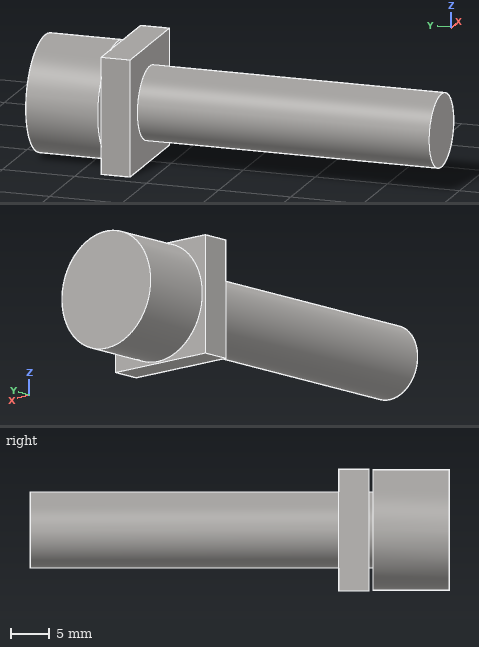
import cadquery as cq

total_length = 55.0
shank_diameter = 10.0
head_diameter = 15.85
head_length = 10.0
plate_side = 16.0
plate_thickness = 4.0
neck_gap = 0.5

head_start = total_length - head_length
plate_start = head_start - neck_gap - plate_thickness


def section_plane(distance_from_tip):
    """Plane across the axis whose normal points from the tip to the head."""
    return cq.Workplane(cq.Plane(origin=(0, distance_from_tip, 0), xDir=(1, 0, 0), normal=(0, 1, 0)))


def round_bar(start, diameter, length):
    return section_plane(start).circle(diameter / 2).extrude(length)


shank = round_bar(0, shank_diameter, total_length)
head = round_bar(head_start, head_diameter, head_length)
plate = section_plane(plate_start).rect(plate_side, plate_side).extrude(plate_thickness)

result = shank.union(head).union(plate)